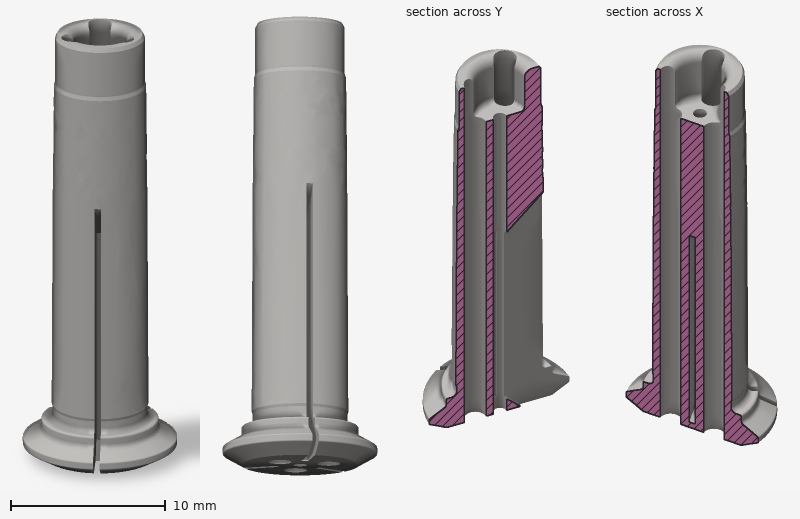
import cadquery as cq
import math

height = 29.0
segments = 3
pitch_angle = 360 / segments

flange_radius = 10.0 / 2
flange_bottom_radius = 3.77
flange_slope = math.tan(math.radians(30))
rim_height = 0.45
rim_round = 0.12

shoulder_radius = 3.8
shoulder_top = 2.52
shoulder_top_round = 0.15
shoulder_base_round = 0.23

collar_radius = 3.07
collar_round = 0.35
collar_top = 3.34
collar_bevel_height = 0.17
body_bottom_radius = 3.13
body_top_radius = 3.0
body_top = 25.43
body_bulge = 0.03
neck_radius = 5.8 / 2
neck_bevel_height = 0.25
tip_chamfer_width = 0.15
tip_chamfer_height = 0.25

recess_radius = 1.7
recess_depth = 3.48
recess_mouth_round = 0.6
recess_floor_round = 0.25

bore_diameter = 0.9
outer_hole_diameter = 1.5
outer_hole_circle_radius = 1.85
outer_hole_circle_x = -0.12

slot_width = 0.44
slot_roof_outer = 18.07
slot_floor_radius = 1.5


def round_edge(body, level, radius):
    """Fillet the circular edge that lies at the given height."""
    margin = 0.003
    at_level = cq.selectors.BoxSelector(
        (-margin, -margin, level - margin),
        (margin, margin, level + margin),
    )
    return body.edges("%CIRCLE").edges(at_level).fillet(radius)


def make_body():
    """Turned outside shape, drawn as a half section and revolved about Z."""
    rim_bottom = (flange_radius - flange_bottom_radius) * flange_slope
    rim_top = rim_bottom + rim_height
    shoulder_base = rim_top + (flange_radius - shoulder_radius) * flange_slope
    body_bottom = collar_top + collar_bevel_height
    body_middle = (body_bottom + body_top) / 2
    body_middle_radius = (body_bottom_radius + body_top_radius) / 2 + body_bulge
    section = (
        cq.Workplane("XZ")
        .moveTo(0, 0)
        .lineTo(flange_bottom_radius, 0)
        .lineTo(flange_radius, rim_bottom)
        .lineTo(flange_radius, rim_top)
        .lineTo(shoulder_radius, shoulder_base)
        .lineTo(shoulder_radius, shoulder_top - shoulder_top_round)
        .radiusArc((shoulder_radius - shoulder_top_round, shoulder_top), -shoulder_top_round)
        .lineTo(collar_radius + collar_round, shoulder_top)
        .radiusArc((collar_radius, shoulder_top + collar_round), collar_round)
        .lineTo(collar_radius, collar_top)
        .lineTo(body_bottom_radius, body_bottom)
        .threePointArc((body_middle_radius, body_middle), (body_top_radius, body_top))
        .lineTo(neck_radius, body_top + neck_bevel_height)
        .lineTo(neck_radius, height - tip_chamfer_height)
        .lineTo(neck_radius - tip_chamfer_width, height)
        .lineTo(0, height)
        .close()
    )
    body = section.revolve(360, (0, 0, 0), (0, 1, 0))
    body = round_edge(body, rim_bottom, rim_round)
    body = round_edge(body, rim_top, rim_round)
    return round_edge(body, shoulder_base, shoulder_base_round)


def make_recess():
    """Round pocket with a flared mouth and a rounded floor corner."""
    floor = height - recess_depth
    return (
        cq.Workplane("XZ")
        .moveTo(0, floor)
        .lineTo(recess_radius - recess_floor_round, floor)
        .radiusArc((recess_radius, floor + recess_floor_round), -recess_floor_round)
        .lineTo(recess_radius, height - recess_mouth_round)
        .radiusArc((recess_radius + recess_mouth_round, height), recess_mouth_round)
        .lineTo(0, height)
        .close()
        .revolve(360, (0, 0, 0), (0, 1, 0))
    )


def make_holes():
    """Central bore and the off-centre ring of larger holes, all running full length."""
    bore = cq.Workplane("XY").circle(bore_diameter / 2).extrude(height)
    ring = (
        cq.Workplane("XY")
        .center(outer_hole_circle_x, 0)
        .polarArray(outer_hole_circle_radius, 0, 360, segments)
        .circle(outer_hole_diameter / 2)
        .extrude(height)
    )
    return bore.union(ring)


def make_slot(angle):
    """Slot from the outside to the axis, its roof and floor sloping at 45 degrees."""
    roof_at_axis = slot_roof_outer - body_bottom_radius
    return (
        cq.Workplane("XZ")
        .moveTo(0, slot_floor_radius)
        .lineTo(slot_floor_radius, 0)
        .lineTo(flange_radius, 0)
        .lineTo(flange_radius, roof_at_axis + flange_radius)
        .lineTo(0, roof_at_axis)
        .close()
        .extrude(slot_width / 2, both=True)
        .rotate((0, 0, 0), (0, 0, 1), angle)
    )


result = make_body().cut(make_recess()).cut(make_holes())
for index in range(segments):
    result = result.cut(make_slot((index + 0.5) * pitch_angle))